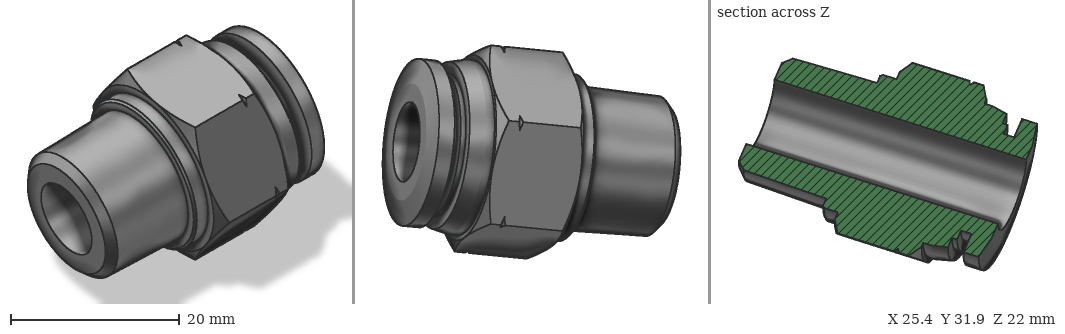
import cadquery as cq
import math

length = 31.85
bore_diameter = 9.5

thread_tip_diameter = 14.6
thread_small_diameter = 16.7
thread_large_diameter = 17.3
thread_chamfer_length = 1.02

collar_diameter = 19.9
collar_start = 11.53
collar_chamfer = 0.3

hex_sides = 6
hex_across_flats = 22.0
hex_start = 13.5
hex_end = 24.5
hex_chamfer_angle = 30
envelope_clearance = 0.32

groove_center = 21.98
groove_width = 0.55
groove_depth = 0.48

sleeve_diameter = 20.8
sleeve_end_diameter = 19.9
sleeve_taper_start = 25.48
sleeve_end = 27.45
step_diameter = 17.15
step_end = 28.1
neck_diameter = 14.45
button_start = 29.35
button_diameter = 19.9
button_face_diameter = 13.9
button_bevel_start = 31.3

hex_across_corners = hex_across_flats / math.cos(math.pi / hex_sides)
corner_radius = hex_across_corners / 2
flat_radius = hex_across_flats / 2


def revolve_profile(points):
    """Revolve a closed (radius, Y) outline around the Y axis."""
    return cq.Workplane("XY").polyline(points).close().revolve(360, (0, 0, 0), (0, 1, 0))


def make_round_body():
    return revolve_profile([
        (0, 0),
        (thread_tip_diameter / 2, 0),
        (thread_small_diameter / 2, thread_chamfer_length),
        (thread_large_diameter / 2, collar_start),
        (collar_diameter / 2 - collar_chamfer, collar_start),
        (collar_diameter / 2, collar_start + collar_chamfer),
        (collar_diameter / 2, hex_start),
        (sleeve_diameter / 2, hex_start),
        (sleeve_diameter / 2, sleeve_taper_start),
        (sleeve_end_diameter / 2, sleeve_end),
        (step_diameter / 2, sleeve_end),
        (step_diameter / 2, step_end),
        (neck_diameter / 2, step_end),
        (neck_diameter / 2, button_start),
        (button_diameter / 2, button_start),
        (button_diameter / 2, button_bevel_start),
        (button_face_diameter / 2, length),
        (0, length),
    ])


def make_hexagon():
    """Hexagon with conically chamfered ends and a V groove across its corners."""
    prism = (
        cq.Workplane("XZ", origin=(0, hex_start, 0))
        .polygon(hex_sides, hex_across_corners)
        .extrude(hex_start - hex_end)
    )
    envelope_radius = corner_radius + envelope_clearance
    cone_length = (envelope_radius - flat_radius) * math.tan(math.radians(hex_chamfer_angle))
    groove_bottom = corner_radius - groove_depth
    groove_half_width = groove_width / 2 * (envelope_radius - groove_bottom) / groove_depth
    envelope = revolve_profile([
        (0, hex_start),
        (flat_radius, hex_start),
        (envelope_radius, hex_start + cone_length),
        (envelope_radius, groove_center - groove_half_width),
        (groove_bottom, groove_center),
        (envelope_radius, groove_center + groove_half_width),
        (envelope_radius, hex_end - cone_length),
        (flat_radius, hex_end),
        (0, hex_end),
    ])
    return prism.intersect(envelope)


bore = cq.Workplane("XZ").circle(bore_diameter / 2).extrude(-length)
result = make_round_body().union(make_hexagon()).cut(bore)